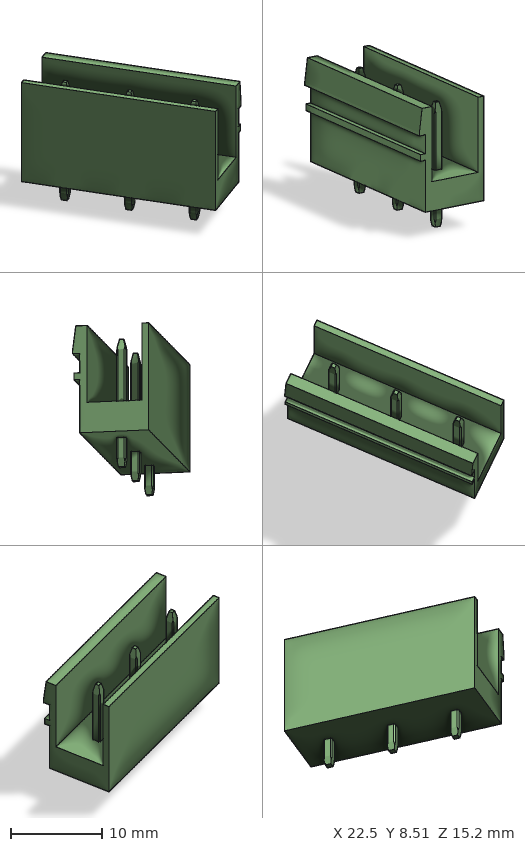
import cadquery as cq

LENGTH = 22.5
HEIGHT = 12.0
BODY_DEPTH = 7.72
FLOOR_THICKNESS = 3.38
FRONT_WALL = 0.75
BACK_WALL = 0.85

CATCH_DEPTH = 0.79
CATCH_TOP_DEPTH = 0.43
CATCH_BOTTOM = 8.89
CATCH_LIP = 0.34

RIB_DEPTH = 0.63
RIB_BOTTOM = 5.96
RIB_HEIGHT = 0.76

PIN_COUNT = 3
PIN_PITCH = 7.5
PIN_Y = 3.75
PIN_WIDTH = 1.01
PIN_CHAMFER = 0.15
PIN_TOP = 11.05
PIN_BOTTOM = -3.22
TOP_TAPER = 1.22
TOP_TIP_WIDTH = 0.45
BOTTOM_TAPER = 0.92
BOTTOM_TIP_WIDTH = 0.65


def pin_centre(index):
    """Centre of one pin in plan; the row is centred on the housing length."""
    return LENGTH / 2 + (index - (PIN_COUNT - 1) / 2) * PIN_PITCH, PIN_Y


def chamfered_rod():
    """Square rod with chamfered long edges, running the full height of a pin."""
    return (
        cq.Workplane("XY", origin=(0, 0, PIN_BOTTOM))
        .rect(PIN_WIDTH, PIN_WIDTH)
        .extrude(PIN_TOP - PIN_BOTTOM)
        .edges("|Z")
        .chamfer(PIN_CHAMFER)
    )


def tapered_envelope():
    """Square bar whose two ends taper evenly on all four sides."""
    lower_shoulder = PIN_BOTTOM + BOTTOM_TAPER
    upper_shoulder = PIN_TOP - TOP_TAPER
    lower_tip = (
        cq.Workplane("XY", origin=(0, 0, PIN_BOTTOM))
        .rect(BOTTOM_TIP_WIDTH, BOTTOM_TIP_WIDTH)
        .workplane(offset=BOTTOM_TAPER)
        .rect(PIN_WIDTH, PIN_WIDTH)
        .loft(ruled=True)
    )
    shank = (
        cq.Workplane("XY", origin=(0, 0, lower_shoulder))
        .rect(PIN_WIDTH, PIN_WIDTH)
        .extrude(upper_shoulder - lower_shoulder)
    )
    upper_tip = (
        cq.Workplane("XY", origin=(0, 0, upper_shoulder))
        .rect(PIN_WIDTH, PIN_WIDTH)
        .workplane(offset=TOP_TAPER)
        .rect(TOP_TIP_WIDTH, TOP_TIP_WIDTH)
        .loft(ruled=True)
    )
    return shank.union(lower_tip).union(upper_tip)


def make_pin(index):
    """One contact pin, in place."""
    x, y = pin_centre(index)
    return chamfered_rod().intersect(tapered_envelope()).translate((x, y, 0))


def make_housing(pins):
    """Channel with its catch and rib, and a fitting hole through the floor for each pin."""
    section = [
        (0, 0),
        (BODY_DEPTH, 0),
        (BODY_DEPTH, RIB_BOTTOM),
        (BODY_DEPTH + RIB_DEPTH, RIB_BOTTOM),
        (BODY_DEPTH + RIB_DEPTH, RIB_BOTTOM + RIB_HEIGHT),
        (BODY_DEPTH, RIB_BOTTOM + RIB_HEIGHT),
        (BODY_DEPTH, CATCH_BOTTOM),
        (BODY_DEPTH + CATCH_DEPTH, CATCH_BOTTOM),
        (BODY_DEPTH + CATCH_DEPTH, CATCH_BOTTOM + CATCH_LIP),
        (BODY_DEPTH + CATCH_TOP_DEPTH, HEIGHT),
        (BODY_DEPTH - BACK_WALL, HEIGHT),
        (BODY_DEPTH - BACK_WALL, FLOOR_THICKNESS),
        (FRONT_WALL, FLOOR_THICKNESS),
        (FRONT_WALL, HEIGHT),
        (0, HEIGHT),
    ]
    body = cq.Workplane("YZ").polyline(section).close().extrude(LENGTH)
    for pin in pins:
        body = body.cut(pin)
    return body


pins = [make_pin(index) for index in range(PIN_COUNT)]
housing = make_housing(pins)

result = cq.Compound.makeCompound([housing.solids().val(), *[pin.solids().val() for pin in pins]])